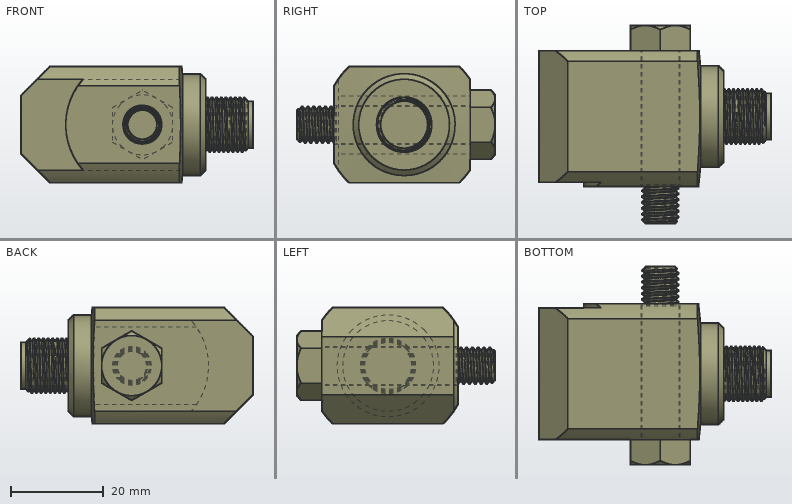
import cadquery as cq
import math


block_width = 28.5
block_height = 25.15
bar_radius = 17.35
end_chamfer = 6.3
end_x = 34.95
end_face_drop = 0.65

seat_height = 0.9
seat_radius = 14.8
seat_x = 24.5
seat_y = -block_width / 2 - seat_height

collar_radius = 22.05 / 2
collar_end_x = 40.05
collar_chamfer = 1.2
overall_length = 50.2
connector_radius = 11.95 / 2
connector_root_radius = connector_radius - 0.6
connector_pitch = 1.0
connector_tip_radius = 10.15 / 2
connector_tip_length = 1.05
connector_crest_x = 41.35

bolt_x = 26.25
bolt_radius = 8.0 / 2
bolt_root_radius = 6.7 / 2
bolt_tip_radius = 6.3 / 2
bolt_pitch = 1.25
bolt_crest_y = -15.75
bolt_end_y = -23.2
hole_radius = 8.4 / 2
head_flats = 13.0
head_top_y = 19.7
head_chamfer = 0.9
head_y = block_width / 2
head_height = head_top_y - head_y

flat_share = 0.12
spiral_steps = 8
thread_sink = 0.5


def revolve_about_z(profile):
    """Solid of revolution about Z from (radius, z) points."""
    return cq.Workplane("XZ").polyline(profile).close().revolve(360, (0, 0), (0, 1))


def polar_point(radius, degrees):
    angle = math.radians(degrees)
    return (radius * math.cos(angle), radius * math.sin(angle))


def spiral_points(radius_1, degrees_1, radius_2, degrees_2):
    """Points after the first on an Archimedean spiral, the cross-section of a thread flank."""
    shares = [i / spiral_steps for i in range(1, spiral_steps + 1)]
    return [
        polar_point(radius_1 + (radius_2 - radius_1) * share, degrees_1 + (degrees_2 - degrees_1) * share)
        for share in shares
    ]


def threaded_rod(crest_radius, root_radius, tip_radius, pitch, start, end, crest_z, crest_angle):
    """Right-hand threaded rod along Z, chamfered at its end.

    The cross-section is twisted one turn per pitch, so that a crest passes through
    the height crest_z at the angle crest_angle.
    """
    crest_half = flat_share * 180
    root_edge = 180 - crest_half
    section = (
        cq.Workplane("XY")
        .moveTo(*polar_point(crest_radius, crest_half))
        .spline(spiral_points(crest_radius, crest_half, root_radius, root_edge), includeCurrent=True)
        .threePointArc(polar_point(root_radius, 180), polar_point(root_radius, -root_edge))
        .spline(spiral_points(root_radius, -root_edge, crest_radius, -crest_half), includeCurrent=True)
        .threePointArc(polar_point(crest_radius, 0), polar_point(crest_radius, crest_half))
        .close()
    )
    length = end - start
    start_angle = crest_angle - 360 * (crest_z - start) / pitch
    rod = (
        section.twistExtrude(length, 360 * length / pitch)
        .rotate((0, 0, 0), (0, 0, 1), start_angle)
        .translate((0, 0, start))
    )
    cone = revolve_about_z([(0, start), (tip_radius + length, start), (tip_radius, end), (0, end)])
    return rod.intersect(cone)


def make_block():
    """Flat-sided block with rounded long corners, end chamfers and a conical +X face."""
    half_height = block_height / 2
    outline = [
        (0, -half_height + end_chamfer),
        (end_chamfer, -half_height),
        (end_x, -half_height),
        (end_x, half_height),
        (end_chamfer, half_height),
        (0, half_height - end_chamfer),
    ]
    sides = cq.Workplane("XZ", origin=(0, block_width / 2, 0)).polyline(outline).close()
    block = sides.extrude(block_width)
    seat = (
        cq.Workplane("XZ", origin=(seat_x, 0, 0))
        .circle(seat_radius)
        .extrude(-seat_y)
        .intersect(cq.Workplane("XZ").polyline(outline).close().extrude(-seat_y))
    )
    bar = revolve_about_z([
        (0, 0),
        (bar_radius, 0),
        (bar_radius, end_x - end_face_drop),
        (collar_radius, end_x),
        (0, end_x),
    ]).rotate((0, 0, 0), (0, 1, 0), 90)
    return block.union(seat).intersect(bar)


def make_collar():
    """Round collar along Z, chamfered at its outer end and sunk into the block."""
    return revolve_about_z([
        (0, end_x - end_face_drop),
        (collar_radius, end_x - end_face_drop),
        (collar_radius, collar_end_x - collar_chamfer),
        (collar_radius - collar_chamfer, collar_end_x),
        (0, collar_end_x),
    ])


def make_connector():
    """Threaded connector along Z with a plain tip; local -X becomes +Z on the part."""
    tip_start = overall_length - connector_tip_length
    thread = threaded_rod(
        connector_radius, connector_root_radius, connector_tip_radius, connector_pitch,
        collar_end_x - thread_sink, tip_start, connector_crest_x, 180,
    )
    tip = (
        cq.Workplane("XY", origin=(0, 0, tip_start))
        .circle(connector_tip_radius)
        .extrude(connector_tip_length)
    )
    return thread.union(tip)


def make_housing():
    """Block, collar and connector in one piece, with the cross hole for the bolt."""
    fitting = make_collar().union(make_connector()).rotate((0, 0, 0), (0, 1, 0), 90)
    hole = (
        cq.Workplane("XZ", origin=(bolt_x, head_y, 0))
        .circle(hole_radius)
        .extrude(head_y - seat_y)
    )
    return make_block().union(fitting).cut(hole)


def make_bolt():
    """Hexagon bolt built along Z with the underside of its head at z = 0, then turned to -Y."""
    corner_radius = head_flats / math.sqrt(3)
    head = (
        cq.Workplane("XY")
        .polygon(6, 2 * corner_radius)
        .extrude(-head_height)
        .rotate((0, 0, 0), (0, 0, 1), 30)
    )
    head_envelope = revolve_about_z([
        (0, 0),
        (corner_radius, 0),
        (corner_radius, -head_height + head_chamfer),
        (head_flats / 2, -head_height),
        (0, -head_height),
    ])
    thread_start = head_y - seat_y - thread_sink
    shank = cq.Workplane("XY").circle(bolt_radius).extrude(thread_start)
    thread = threaded_rod(
        bolt_radius, bolt_root_radius, bolt_tip_radius, bolt_pitch,
        thread_start, head_y - bolt_end_y, head_y - bolt_crest_y, 90,
    )
    bolt = head.intersect(head_envelope).union(shank).union(thread)
    return bolt.rotate((0, 0, 0), (1, 0, 0), 90).translate((bolt_x, head_y, 0))


housing = make_housing()
bolt = make_bolt()

result = cq.Compound.makeCompound([housing.solids().val(), bolt.solids().val()])